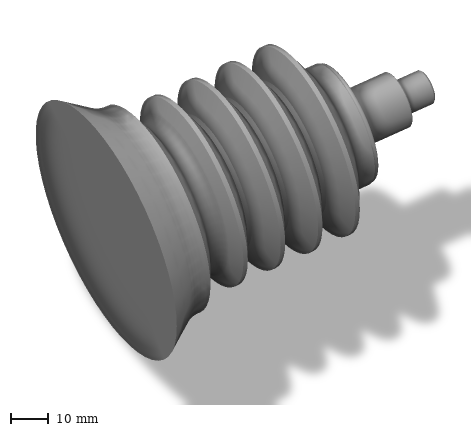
import math

import cadquery as cq


LIP_RADIUS = 75 / 2
LIP_ANGLE = math.radians(35)
SKIRT_RADIUS = 60 / 2
SKIRT_BLEND_RADIUS = 10
SKIRT_TOP_Y = 14.6

GROOVE_ARC_RADIUS = 3
GROOVE_FLANK_ANGLE = math.radians(30)

CREST_RADIUS = 55 / 2
VALLEY_RADIUS = 39 / 2
CREST_WIDTH = 1.34
VALLEY_WIDTH = 1.38
FLANK_HEIGHT = 4.34
FOLD_COUNT = 4
FIRST_CREST_Y = 26.1
FOLD_PITCH = CREST_WIDTH + VALLEY_WIDTH + 2 * FLANK_HEIGHT

COLLAR_RADIUS = 35 / 2
COLLAR_BLEND_RADIUS = 3
COLLAR_TOP_Y = 72
PLATE_RADIUS = 34.5 / 2
PLATE_THICKNESS = 1.5
PLATE_EDGE_RADIUS = PLATE_THICKNESS / 2
PLATE_TOP_Y = COLLAR_TOP_Y + PLATE_THICKNESS

SHANK_RADIUS = 16 / 2
SHANK_TOP_Y = 89.1
SHANK_CHAMFER = 0.3
SHANK_FILLET = 0.9
STUD_RADIUS = 9.73 / 2
STUD_CORE_RADIUS = 8.57 / 2
STUD_BOTTOM_Y = 90
STUD_CHAMFER = STUD_RADIUS - STUD_CORE_RADIUS
TOTAL_LENGTH = 98


def on_circle(center, radius, angle):
    """Point on a circle at the given angle from the outward radial direction."""
    return (center[0] + radius * math.cos(angle), center[1] + radius * math.sin(angle))


def concave_arc(profile, center, radius, start_angle, end_angle):
    """Run straight to the start of an arc, then along it to its end."""
    middle_angle = (start_angle + end_angle) / 2
    return profile.lineTo(*on_circle(center, radius, start_angle)).threePointArc(
        on_circle(center, radius, middle_angle), on_circle(center, radius, end_angle)
    )


def add_lip(profile):
    """Flared lip cone, blended tangentially into the cylindrical skirt."""
    blend_flare = SKIRT_BLEND_RADIUS * (1 - math.cos(LIP_ANGLE))
    cone_height = (LIP_RADIUS - SKIRT_RADIUS - blend_flare) / math.tan(LIP_ANGLE)
    center = (
        SKIRT_RADIUS + SKIRT_BLEND_RADIUS,
        cone_height + SKIRT_BLEND_RADIUS * math.sin(LIP_ANGLE),
    )
    profile = profile.lineTo(LIP_RADIUS, 0)
    profile = concave_arc(profile, center, SKIRT_BLEND_RADIUS, math.pi + LIP_ANGLE, math.pi)
    return profile.lineTo(SKIRT_RADIUS, SKIRT_TOP_Y)


def add_groove(profile):
    """V groove with a round bottom, its flanks tangent to the bottom arc."""
    slope = math.tan(GROOVE_FLANK_ANGLE)
    apex_y = (SKIRT_TOP_Y + FIRST_CREST_Y + (SKIRT_RADIUS - CREST_RADIUS) * slope) / 2
    apex_radius = SKIRT_RADIUS - (apex_y - SKIRT_TOP_Y) / slope
    center = (apex_radius + GROOVE_ARC_RADIUS / math.sin(GROOVE_FLANK_ANGLE), apex_y)
    half_sweep = math.pi / 2 - GROOVE_FLANK_ANGLE
    return concave_arc(
        profile, center, GROOVE_ARC_RADIUS, math.pi + half_sweep, math.pi - half_sweep
    )


def add_folds(profile):
    """Bellows crests with flat-bottomed valleys between them."""
    for fold in range(FOLD_COUNT):
        crest_y = FIRST_CREST_Y + fold * FOLD_PITCH
        if fold > 0:
            valley_top_y = crest_y - FLANK_HEIGHT
            profile = profile.lineTo(VALLEY_RADIUS, valley_top_y - VALLEY_WIDTH)
            profile = profile.lineTo(VALLEY_RADIUS, valley_top_y)
        profile = profile.lineTo(CREST_RADIUS, crest_y)
        profile = profile.lineTo(CREST_RADIUS, crest_y + CREST_WIDTH)
    return profile


def add_collar(profile):
    """Collar blended tangentially into the top flank, and its round-edged plate."""
    flank_angle = math.atan2(FLANK_HEIGHT, CREST_RADIUS - VALLEY_RADIUS)
    sweep = math.pi / 2 - flank_angle
    last_crest_top_y = FIRST_CREST_Y + (FOLD_COUNT - 1) * FOLD_PITCH + CREST_WIDTH
    corner_y = last_crest_top_y + (CREST_RADIUS - COLLAR_RADIUS) * math.tan(flank_angle)
    center = (
        COLLAR_RADIUS + COLLAR_BLEND_RADIUS,
        corner_y + COLLAR_BLEND_RADIUS * math.tan(sweep / 2),
    )
    profile = concave_arc(profile, center, COLLAR_BLEND_RADIUS, math.pi + sweep, math.pi)
    profile = profile.lineTo(COLLAR_RADIUS, COLLAR_TOP_Y)
    edge_center_radius = PLATE_RADIUS - PLATE_EDGE_RADIUS
    return profile.lineTo(edge_center_radius, COLLAR_TOP_Y).threePointArc(
        (PLATE_RADIUS, COLLAR_TOP_Y + PLATE_EDGE_RADIUS), (edge_center_radius, PLATE_TOP_Y)
    )


def add_shank(profile):
    """Shank with a filleted foot and a chamfered top edge."""
    fillet_center = (SHANK_RADIUS + SHANK_FILLET, PLATE_TOP_Y + SHANK_FILLET)
    profile = concave_arc(profile, fillet_center, SHANK_FILLET, 3 * math.pi / 2, math.pi)
    profile = profile.lineTo(SHANK_RADIUS, SHANK_TOP_Y - SHANK_CHAMFER)
    return profile.lineTo(SHANK_RADIUS - SHANK_CHAMFER, SHANK_TOP_Y)


def add_stud(profile):
    """Undercut neck and stud with a chamfered end."""
    profile = profile.lineTo(STUD_CORE_RADIUS, SHANK_TOP_Y)
    profile = profile.lineTo(STUD_CORE_RADIUS, STUD_BOTTOM_Y)
    profile = profile.lineTo(STUD_RADIUS, STUD_BOTTOM_Y)
    profile = profile.lineTo(STUD_RADIUS, TOTAL_LENGTH - STUD_CHAMFER)
    profile = profile.lineTo(STUD_RADIUS - STUD_CHAMFER, TOTAL_LENGTH)
    return profile.lineTo(0, TOTAL_LENGTH)


half_profile = cq.Workplane("XY").moveTo(0, 0)
for add_section in (add_lip, add_groove, add_folds, add_collar, add_shank, add_stud):
    half_profile = add_section(half_profile)

result = half_profile.close().revolve(360, (0, 0, 0), (0, 1, 0))